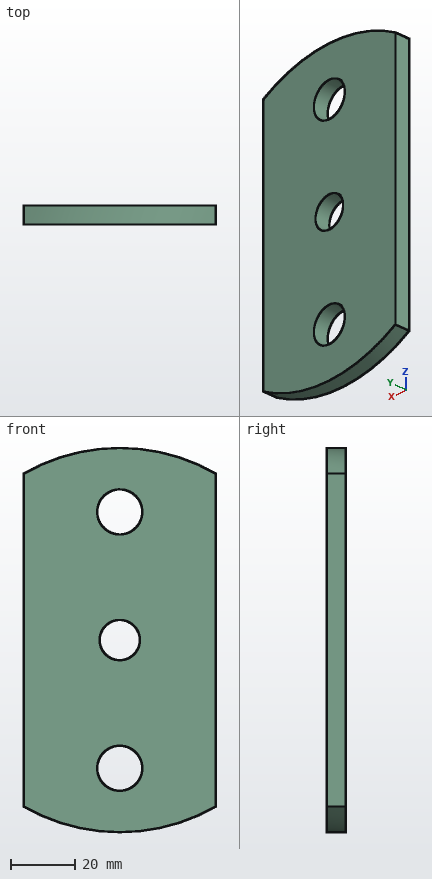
import cadquery as cq

plate_width = 60.0
plate_height = 120.0
plate_thickness = 6.0
center_hole_diameter = 12.5
end_hole_diameter = 14.0
end_hole_offset = 40.0

end_radius = plate_height / 2


def make_plate():
    """Round disc standing in the XZ plane, trimmed to width by two flat sides."""
    back_face = cq.Workplane("XZ", origin=(0, plate_thickness / 2, 0))
    disc = back_face.circle(end_radius).extrude(plate_thickness)
    trim = cq.Workplane("XY").box(plate_width, plate_thickness, plate_height)
    return disc.intersect(trim)


def drill_hole(body, diameter, height):
    """Cut a through hole along Y on the plate's vertical centre line."""
    drill = (
        cq.Workplane("XZ", origin=(0, plate_thickness / 2, height))
        .circle(diameter / 2)
        .extrude(plate_thickness)
    )
    return body.cut(drill)


result = make_plate()
result = drill_hole(result, center_hole_diameter, 0)
for hole_height in (-end_hole_offset, end_hole_offset):
    result = drill_hole(result, end_hole_diameter, hole_height)